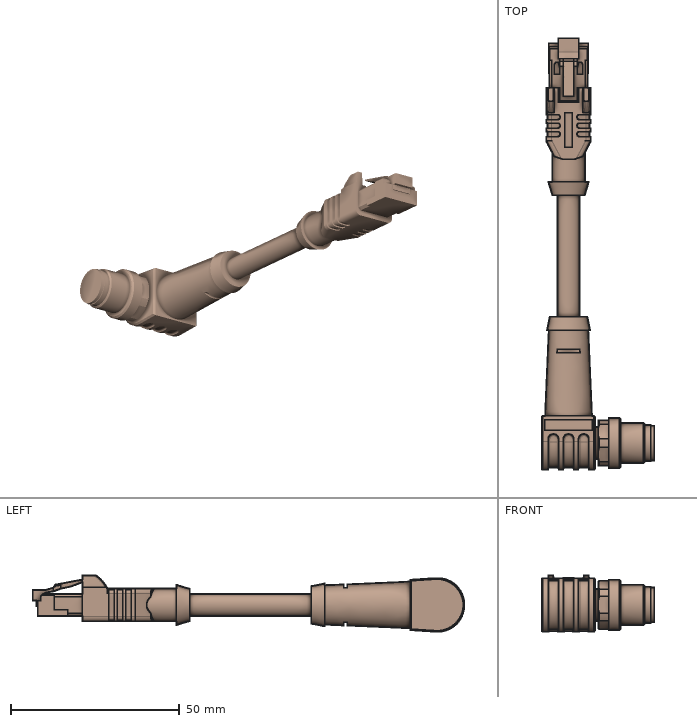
import cadquery as cq
import math


cable_diameter = 6.6
elbow_boot_start = 8.0
elbow_boot_start_radius = 7.0
elbow_boot_end_radius = 5.9
elbow_collar_start = 33.5
elbow_collar_end = 37.5
elbow_collar_radius = 6.4
elbow_collar_tip_radius = 5.6
boot_slot_center = 27.3
boot_slot_width = 1.0
boot_slot_floor = 5.15
plug_collar_tip = 73.5
plug_collar_base = 77.5
sleeve_end = 87.0
plug_collar_tip_radius = 9.6 / 2
plug_collar_radius = 12.0 / 2

housing_half_width = 8.0
housing_radius = 8.0
housing_end = 8.1
housing_end_half_height = 7.5
housing_chamfer = 0.35
housing_face_chamfer = 0.5
grip_pitch = 4.5
grip_width = 3.1
grip_depth = 0.7
grip_floor_radius = 0.35
grip_top = 2.7
label_length = 14.0
label_width = 3.1
label_center = 5.4
label_depth = 0.15

neck_diameter = 9.6
hex_start = 8.85
hex_end = 11.9
hex_corner_diameter = 14.5
hex_across_flats = 13.6
hex_chamfer = 0.3
ring_diameter = 15.0
ring_end = 15.5
ring_chamfer = 0.5
thread_diameter = 12.0
thread_end = 22.6
thread_chamfer = 0.4
insert_diameter = 10.8
insert_end = 24.4
tip_diameter = 10.4
connector_end = 25.5

grip_front = 105.4
grip_taper_start = 89.7
grip_taper_end = 84.2
taper_corner_x = 4.25
taper_corner_y = 85.1
taper_end_half_width = 1.6
grip_half_width = 6.67
grip_half_height = 4.9
grip_corner_radius = 1.5
rib_groove_first = 96.75
rib_groove_pitch = 2.52
rib_groove_count = 3
rib_groove_width = 1.5
rib_groove_depth = 0.4
rib_groove_inner_end = 2.5
grip_slot_length = 10.2
grip_slot_width = 2.2
grip_slot_center = 92.9
grip_slot_depth = 0.25
latch_notch_half_width = 3.0
latch_notch_end = 101.2
latch_notch_draft = 13

guard_top = 8.78
guard_flat_end = 101.4
guard_tail = 98.0
guard_arc_point = (99.9, 7.5)
guard_base_inner = 4.2
guard_ledge = 5.3
guard_base_outer = 6.4
guard_edge_radius = 0.4
guard_top_inner = 4.5
guard_top_outer = 6.0

plug_front = 118.7
plug_half_width = 5.9
plug_half_height = 3.3
plug_side_step = 0.15
plug_step_front = 113.7
plug_step_rear = 109.7
plug_step_height = -1.5
plug_chamfer = 0.8
plug_rabbet_start = 117.7
plug_rabbet_floor = 1.25
plug_rabbet_chamfer = 0.7
plug_front_chamfer = 0.4
pocket_center = 3.4
pocket_width = 1.7
pocket_front = 113.1
pocket_rear = 109.4
pocket_depth = 1.0
pocket_chamfer = 0.6

latch_front = 120.17
latch_half_width = 3.1
latch_top = 4.5
nose_bend = 116.2
nose_underside = 3.65
lip_front = 119.05
lip_bottom = -0.4
shoulder_front = 114.0
shoulder_rear = 111.8
shoulder_half_width = 2.6
shoulder_front_top = 5.15
shoulder_front_underside = 4.0
shoulder_crest = 5.6
shoulder_rear_top = 5.9
shoulder_rear_underside = 4.8
lever_half_width = 1.55
lever_front = 113.4
lever_rear = 103.0
lever_bend = 108.8
lever_front_top = 6.05
lever_rear_top = 8.0
lever_end_thickness = 0.4
lever_bend_underside = 5.45


def box(x_range, y_range, z_range):
    """Box given by its two limits along each axis."""
    sizes = [limits[1] - limits[0] for limits in (x_range, y_range, z_range)]
    corner = (x_range[0], y_range[0], z_range[0])
    return cq.Workplane("XY").box(*sizes, centered=False).translate(corner)


def symmetric_box(half_width, y_range, z_range):
    """Box centred on the cable plane X = 0."""
    return box((-half_width, half_width), y_range, z_range)


def both_sides(shape):
    """Shape together with its mirror image across X = 0."""
    return shape.union(shape.mirror("YZ"))


def side_prism(points, half_width):
    """Prism of a (Y, Z) outline, centred on X = 0."""
    return cq.Workplane("YZ").polyline(points).close().extrude(half_width, both=True)


def cylinder_along_x(diameter, start, end):
    return cq.Workplane("YZ", origin=(start, 0, 0)).circle(diameter / 2).extrude(end - start)


def revolve_about_y(profile):
    """Solid of revolution about the cable axis from (radius, Y) points."""
    return cq.Workplane("XY").polyline(profile).close().revolve(360, (0, 0, 0), (0, 1, 0))


def make_cable_and_reliefs():
    cable_radius = cable_diameter / 2
    cable = revolve_about_y([
        (0, 0), (cable_radius, 0), (cable_radius, grip_taper_start), (0, grip_taper_start),
    ])
    boot = revolve_about_y([
        (0, 0),
        (elbow_boot_start_radius, 0),
        (elbow_boot_start_radius, elbow_boot_start),
        (elbow_boot_end_radius, elbow_collar_start),
        (elbow_collar_radius, elbow_collar_start),
        (elbow_collar_tip_radius, elbow_collar_end),
        (0, elbow_collar_end),
    ])
    slot_limits = (boot_slot_center - boot_slot_width / 2, boot_slot_center + boot_slot_width / 2)
    slot = symmetric_box(housing_half_width, slot_limits, (boot_slot_floor, housing_radius))
    boot = boot.cut(slot).cut(slot.mirror("XY"))
    sleeve = revolve_about_y([
        (0, plug_collar_tip),
        (plug_collar_tip_radius, plug_collar_tip),
        (plug_collar_radius, plug_collar_base),
        (grip_half_height, plug_collar_base),
        (grip_half_height, sleeve_end),
        (0, sleeve_end),
    ])
    return cable.union(boot).union(sleeve)


def d_prism(inset):
    """Housing prism: a round end whose tangent flanks converge towards the cable."""
    radius = housing_radius - inset
    half_height = housing_end_half_height - inset
    corner_angle = math.atan2(half_height, housing_end)
    tangent_angle = corner_angle + math.acos(radius / math.hypot(housing_end, half_height))
    tangent_y = radius * math.cos(tangent_angle)
    tangent_z = radius * math.sin(tangent_angle)
    return (
        cq.Workplane("YZ")
        .moveTo(housing_end, -half_height)
        .lineTo(housing_end, half_height)
        .lineTo(tangent_y, tangent_z)
        .threePointArc((-radius, 0), (tangent_y, -tangent_z))
        .close()
        .extrude(housing_half_width, both=True)
    )


def make_housing():
    housing = d_prism(0)
    housing = housing.faces(">X").chamfer(housing_face_chamfer)
    housing = housing.faces("<X").chamfer(housing_chamfer)
    grip_core = d_prism(grip_depth)
    half_width = grip_width / 2
    reach = housing_radius
    floor_region = cq.selectors.BoxSelector((-reach, -reach, -reach), (reach, reach, reach))
    for index in (-1, 0, 1):
        groove = (
            cq.Workplane("XY")
            .center(index * grip_pitch, 0)
            .moveTo(-half_width, -2 * housing_radius)
            .lineTo(half_width, -2 * housing_radius)
            .lineTo(half_width, grip_top - half_width)
            .threePointArc((0, grip_top), (-half_width, grip_top - half_width))
            .close()
            .extrude(2 * housing_radius, both=True)
            .cut(grip_core)
        )
        groove = groove.edges("not |X").edges(floor_region).fillet(grip_floor_radius)
        housing = housing.cut(groove)
    label_limits = (label_center - label_width / 2, label_center + label_width / 2)
    label = symmetric_box(label_length / 2, label_limits, (0, 2 * housing_radius))
    return housing.cut(label.cut(d_prism(label_depth)))


def make_round_connector():
    neck = cylinder_along_x(neck_diameter, 0, hex_end)
    hex_prism = (
        cq.Workplane("YZ", origin=(hex_start, 0, 0))
        .polygon(6, hex_across_flats, circumscribed=True)
        .extrude(hex_end - hex_start)
    )
    hex_round = cylinder_along_x(hex_corner_diameter, hex_start, hex_end)
    hex_nut = hex_prism.intersect(hex_round.faces("<X").chamfer(hex_chamfer))
    ring = cylinder_along_x(ring_diameter, hex_end, ring_end).faces(">X").chamfer(ring_chamfer)
    thread = cylinder_along_x(thread_diameter, hex_end, thread_end).faces(">X").chamfer(thread_chamfer)
    insert = cylinder_along_x(insert_diameter, hex_end, insert_end)
    tip = cylinder_along_x(tip_diameter, hex_end, connector_end)
    return neck.union(hex_nut).union(ring).union(thread).union(insert).union(tip)


def grip_prism(inset):
    """Straight part of the grip, optionally shrunk on all sides."""
    prism = symmetric_box(
        grip_half_width - inset,
        (grip_taper_start, grip_front),
        (inset - grip_half_height, grip_half_height - inset),
    )
    return prism.edges("|Y").fillet(grip_corner_radius - inset)


def make_grip():
    taper_outline = [
        (grip_half_width, grip_taper_start),
        (taper_corner_x, taper_corner_y),
        (taper_end_half_width, grip_taper_end),
    ]
    mirrored_outline = [(-x, y) for x, y in reversed(taper_outline)]
    taper = (
        cq.Workplane("XY")
        .polyline(taper_outline + mirrored_outline)
        .close()
        .extrude(grip_half_height, both=True)
    )
    flank_region = cq.selectors.BoxSelector(
        (-grip_half_width, taper_corner_y, -2 * grip_half_height),
        (grip_half_width, grip_taper_start - grip_corner_radius, 2 * grip_half_height),
    )
    taper = taper.edges("not |Z").edges(flank_region).fillet(grip_corner_radius)
    grip = grip_prism(0).union(taper)

    groove_core = grip_prism(rib_groove_depth)
    for index in range(rib_groove_count):
        center_y = rib_groove_first - index * rib_groove_pitch
        slot_length = 2 * grip_half_width
        groove = (
            cq.Workplane("XY")
            .center(rib_groove_inner_end + slot_length / 2, center_y)
            .slot2D(slot_length, rib_groove_width)
            .extrude(2 * grip_half_height, both=True)
        )
        grip = grip.cut(both_sides(groove.cut(groove_core)))

    slot_limits = (grip_slot_center - grip_slot_length / 2, grip_slot_center + grip_slot_length / 2)
    slot_depths = (grip_half_height - grip_slot_depth, 2 * grip_half_height)
    grip = grip.cut(symmetric_box(grip_slot_width / 2, slot_limits, slot_depths))

    notch_length = grip_front - latch_notch_end
    notch = (
        cq.Workplane("XY", origin=(0, grip_front, grip_half_height))
        .rect(2 * latch_notch_half_width, 2 * notch_length)
        .extrude(plug_half_height - grip_half_height, taper=latch_notch_draft)
    )
    return grip.union(make_guards()).cut(notch)


def make_guards():
    """Pair of tapered walls that protect the latch lever."""
    base = grip_half_height - grip_corner_radius
    cross_section = (
        cq.Workplane("XZ", origin=(0, grip_front, 0))
        .polyline([
            (guard_base_inner, base),
            (grip_half_width, base),
            (grip_half_width, guard_ledge),
            (guard_base_outer, guard_ledge),
            (guard_top_outer, guard_top),
            (guard_top_inner, guard_top),
            (guard_base_inner, grip_half_height),
        ])
        .close()
        .extrude(grip_front - guard_tail)
    )
    side_profile = (
        cq.Workplane("YZ")
        .moveTo(grip_front, base)
        .lineTo(grip_front, guard_top)
        .lineTo(guard_flat_end, guard_top)
        .threePointArc(guard_arc_point, (guard_tail, grip_half_height))
        .lineTo(guard_tail, base)
        .close()
        .extrude(grip_half_width)
    )
    guard = cross_section.intersect(side_profile)
    upper_edges = cq.selectors.BoxSelector(
        (grip_half_width, guard_tail, guard_ledge + guard_edge_radius),
        (guard_base_inner, grip_front - guard_edge_radius, guard_top + guard_edge_radius),
    )
    guard = guard.edges(upper_edges).edges("not |X").edges(">X or <X").fillet(guard_edge_radius)
    return both_sides(guard)


def make_plug():
    heights = (-plug_half_height, plug_half_height)
    rear_half_width = plug_half_width - plug_side_step
    rear = symmetric_box(rear_half_width, (latch_notch_end, plug_step_front), heights)
    rear = rear.edges("|Y").chamfer(plug_chamfer)
    front = symmetric_box(plug_half_width, (plug_step_front, plug_front), heights)
    front = front.edges("|Y and >Z").chamfer(plug_front_chamfer)
    skirt = symmetric_box(
        plug_half_width, (plug_step_rear, plug_step_front), (-plug_half_height, plug_step_height)
    )
    rabbet = symmetric_box(
        plug_half_width, (plug_rabbet_start, plug_front), (plug_rabbet_floor, plug_half_height)
    )
    front = front.cut(rabbet).faces(">Z").edges(">Y").chamfer(plug_rabbet_chamfer)
    plug = rear.union(front).union(skirt)

    inner = pocket_center - pocket_width / 2
    outer = pocket_center + pocket_width / 2
    pocket = (
        cq.Workplane("XY", origin=(0, 0, plug_half_height - pocket_depth))
        .polyline([
            (outer, pocket_rear),
            (outer, pocket_front - pocket_chamfer),
            (outer - pocket_chamfer, pocket_front),
            (outer - 2 * pocket_chamfer, pocket_front),
            (inner, (pocket_front + pocket_rear) / 2),
            (inner, pocket_rear),
        ])
        .close()
        .extrude(2 * pocket_depth)
    )
    return plug.cut(both_sides(pocket))


def make_latch():
    """Hooked nose, rising shoulder plate and the narrow release lever."""
    plate_outline = [
        (latch_front, plug_rabbet_floor),
        (latch_front, latch_top),
        (nose_bend, latch_top),
        (shoulder_front, shoulder_front_top),
        (shoulder_front, shoulder_front_underside),
        (nose_bend, nose_underside),
        (plug_rabbet_start, plug_half_height - plug_rabbet_chamfer),
        (plug_rabbet_start, plug_rabbet_floor),
    ]
    shoulder_outline = [
        (shoulder_front, shoulder_front_underside),
        (shoulder_front, shoulder_front_top),
        (lever_front, shoulder_crest),
        (shoulder_rear, shoulder_rear_top),
        (shoulder_rear, shoulder_rear_underside),
    ]
    lever_outline = [
        (shoulder_front, shoulder_front_underside),
        (shoulder_front, shoulder_front_top),
        (lever_front, lever_front_top),
        (lever_rear, lever_rear_top),
        (lever_rear, lever_rear_top - lever_end_thickness),
        (lever_bend, lever_bend_underside),
        (shoulder_rear, shoulder_rear_underside),
    ]
    plate = side_prism(plate_outline, latch_half_width)
    shoulder = side_prism(shoulder_outline, shoulder_half_width)
    lever = side_prism(lever_outline, lever_half_width)
    lip = symmetric_box(
        latch_half_width, (plug_rabbet_start, lip_front), (lip_bottom, plug_rabbet_floor)
    )
    return plate.union(shoulder).union(lever).union(lip)


result = (
    make_cable_and_reliefs()
    .union(make_housing())
    .union(make_round_connector())
    .union(make_grip())
    .union(make_plug())
    .union(make_latch())
)